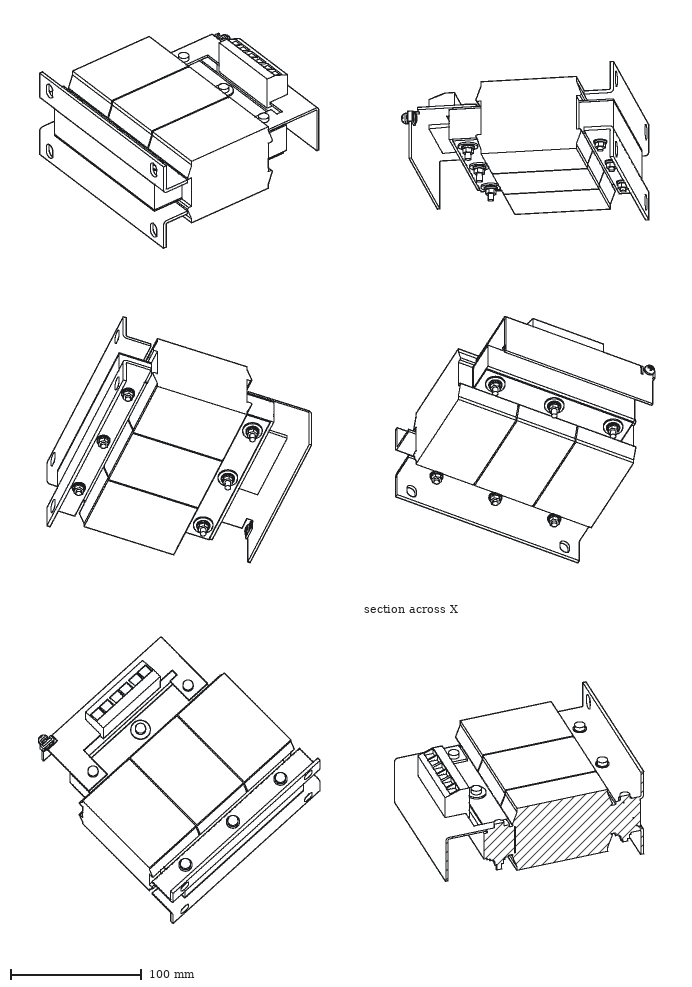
import cadquery as cq


yoke_depth = 25.0
core_width = 5 * yoke_depth
core_height = 24.0
core_front = 2.67
core_rear = 130.2
plate_thickness = 1.33
plate_rear_setback = 2.7
plate_edge_setback = 0.15
plate_z = core_height / 2 + plate_thickness

coil_pitch = 50.0
coil_gap = 1.0
coil_width = coil_pitch - coil_gap
coil_offsets = [-coil_pitch, 0, coil_pitch]
coil_row_width = 2 * coil_pitch + coil_width
coil_height = 58.0
coil_edge_height = 3.6
coil_flare = 4.0
coil_lip_chamfer = 1.2
coil_front = 29.4
coil_rear = 103.4
flange_thickness = 1.3

bracket_width = 155.0
bracket_thickness = core_front
bracket_inner_radius = 0.6
bracket_depth = 23.0
bracket_leg = 25.0
bracket_outer_z = plate_z + bracket_leg
slot_spacing = 130.0
slot_width = 7.8
slot_height = 12.0
slot_z = 28.3

sheet = 2.0
bend_radius = 3.0
plate_front = 109.2
plate_rear = 161.4
plate_top = plate_z + sheet
tab_bottom = -25.3
opening_half_width = 43.0
opening_rear = 135.5
relief_front = 130.3
relief_right = 50.3
notch_front = 154.8
notch_right = -52.3
notch_bottom = 12.0

block_count = 3
block_width = 20.0
block_row_left = -25.0
block_front = 132.7
block_rear = 152.4
block_bottom_rear = 10.1
block_bottom_front = 10.9
block_slope_start = 140.2
block_low_top = 33.8
pocket_width = 8.4
pocket_spacing = 9.4
pocket_front = 140.5
pocket_rear = 147.9

bolt_diameter = 4.3
head_diameter = 8.0
head_height = 3.35
washer_diameter = 10.2
washer_thickness = 0.5
wide_washer_diameter = 15.0
wide_washer_thickness = 1.35
spring_washer_diameter = 9.4
spring_washer_thickness = 1.3
nut_across_corners = 8.08
nut_height = 3.3
nut_turn = 50.0
front_bolt_y = core_front + yoke_depth / 2
rear_bolt_y = core_rear - yoke_depth / 2
front_bolt_tip = -23.3
outer_rear_bolt_tip = -24.7
middle_rear_bolt_tip = -25.9

screw_x = -58.2
screw_z = 8.2
screw_end = 167.4
screw_dome_height = 2.9
screw_dome_flat = 4.4
screw_dome_fullness = 0.6
screw_head_diameter = 8.2
screw_rim_height = 1.4
screw_diameter = 4.0
clamp_width = 11.5
clamp_height = 8.0
clamp_wall = 1.5
clamp_rear = 162.1
screw_nut_height = 1.2
screw_collar_length = 0.5
screw_collar_diameter = 4.6
recess_length = 4.6
recess_width = 1.2
recess_depth = 1.2


def box(x0, x1, y0, y1, z0, z1):
    """Block between two opposite corners."""
    return cq.Workplane("XY").box(x1 - x0, y1 - y0, z1 - z0, centered=False).translate((x0, y0, z0))


def cylinder(x, y, bottom, top, diameter):
    """Upright round bar."""
    return cq.Workplane("XY", origin=(x, y, bottom)).circle(diameter / 2).extrude(top - bottom)


def extrude_along_x(points, x0, x1):
    """Prism with a (Y, Z) outline."""
    return cq.Workplane("YZ", origin=(x0, 0, 0)).polyline(points).close().extrude(x1 - x0)


def make_core():
    half_width = core_width / 2
    half_height = core_height / 2
    rear_yoke_front = core_rear - yoke_depth
    plate_half_width = half_width - plate_edge_setback
    plates_front = core_front + plate_edge_setback
    plates_rear = core_rear - plate_rear_setback
    core = box(-half_width, half_width, core_front, coil_front, -half_height, half_height)
    core = core.union(box(-half_width, half_width, rear_yoke_front, core_rear, -half_height, half_height))
    front_plates = box(-plate_half_width, plate_half_width, plates_front, coil_front, -plate_z, plate_z)
    rear_plates = box(-plate_half_width, plate_half_width, coil_rear, plates_rear, -plate_z, plate_z)
    air_gap = box(
        -half_width, half_width, coil_rear + flange_thickness, rear_yoke_front, -half_height, half_height
    )
    return core.union(front_plates).union(rear_plates.cut(air_gap))


def make_coils():
    half_row = coil_row_width / 2
    top = coil_height / 2
    shoulder = top - coil_edge_height
    coils = box(-half_row, half_row, coil_front, coil_rear, -plate_z, plate_z)
    upper_outline = [
        (coil_front, 0),
        (coil_front, plate_z),
        (coil_front - coil_flare + coil_lip_chamfer, plate_z),
        (coil_front - coil_flare, plate_z + coil_lip_chamfer),
        (coil_front, shoulder),
        (coil_front, top),
        (coil_rear, top),
        (coil_rear, shoulder),
        (coil_rear + coil_flare, plate_z + coil_lip_chamfer),
        (coil_rear + coil_flare - coil_lip_chamfer, plate_z),
        (coil_rear, plate_z),
        (coil_rear, 0),
    ]
    for x in coil_offsets:
        upper = extrude_along_x(upper_outline, x - coil_width / 2, x + coil_width / 2)
        coils = coils.union(upper).union(upper.mirror("XY"))
    return coils


def make_upper_bracket():
    half_width = bracket_width / 2
    inner_z = plate_z + bracket_thickness
    outline = [
        (0, plate_z),
        (bracket_depth, plate_z),
        (bracket_depth, inner_z),
        (bracket_thickness, inner_z),
        (bracket_thickness, bracket_outer_z),
        (0, bracket_outer_z),
    ]
    bracket = extrude_along_x(outline, -half_width, half_width)
    bracket = bracket.edges("|X and <Y and <Z").fillet(bracket_inner_radius + bracket_thickness)
    inner_bend = cq.selectors.NearestToPointSelector((0, bracket_thickness, inner_z))
    bracket = bracket.edges(inner_bend).fillet(bracket_inner_radius)
    slots = (
        cq.Workplane("XZ", origin=(0, bracket_thickness, 0))
        .pushPoints([(-slot_spacing / 2, slot_z), (slot_spacing / 2, slot_z)])
        .slot2D(slot_height, slot_width, 90)
        .extrude(bracket_thickness)
    )
    return bracket.cut(slots)


def make_terminal_plate():
    half_width = core_width / 2
    outline = [
        (plate_front, plate_z),
        (plate_rear - sheet, plate_z),
        (plate_rear - sheet, tab_bottom),
        (plate_rear, tab_bottom),
        (plate_rear, plate_top),
        (plate_front, plate_top),
    ]
    plate = extrude_along_x(outline, -half_width, half_width)
    plate = plate.edges("|X and >Y and >Z").fillet(bend_radius)
    inner_bend = cq.selectors.NearestToPointSelector((0, plate_rear - sheet, plate_z))
    plate = plate.edges(inner_bend).fillet(bend_radius - sheet)
    opening = box(-opening_half_width, opening_half_width, plate_front, opening_rear, plate_z, plate_top)
    relief = box(0, relief_right, relief_front, opening_rear, plate_z, plate_top)
    notch = box(-half_width, notch_right, notch_front, plate_rear, notch_bottom, plate_top)
    return plate.cut(opening).cut(relief).cut(notch)


def make_terminal_blocks():
    row_right = block_row_left + block_count * block_width
    outline = [
        (block_front, block_bottom_front),
        (block_rear, block_bottom_rear),
        (block_rear, block_low_top),
        (block_slope_start, bracket_outer_z),
        (block_front, bracket_outer_z),
    ]
    blocks = extrude_along_x(outline, block_row_left, row_right)
    for index in range(block_count):
        block_center = block_row_left + (index + 0.5) * block_width
        for side in (-1, 1):
            left = block_center + side * pocket_spacing / 2 - pocket_width / 2
            pocket = box(
                left, left + pocket_width, pocket_front, pocket_rear, block_low_top, bracket_outer_z
            )
            blocks = blocks.cut(pocket)
    return blocks


def make_nut_end(x, y, seat, tip):
    """Washer, spring washer, hexagon nut and bolt tip below a seat."""
    washer_bottom = seat - washer_thickness
    spring_bottom = washer_bottom - spring_washer_thickness
    nut_bottom = spring_bottom - nut_height
    end = cylinder(x, y, washer_bottom, seat, washer_diameter)
    end = end.union(cylinder(x, y, spring_bottom, washer_bottom, spring_washer_diameter))
    nut = cq.Workplane("XY").polygon(6, nut_across_corners).extrude(nut_height)
    nut = nut.rotate((0, 0, 0), (0, 0, 1), nut_turn).translate((x, y, nut_bottom))
    shank = cylinder(x, y, tip, seat, bolt_diameter)
    return end.union(nut).union(shank)


def make_front_bolt(x):
    seat = plate_z + bracket_thickness
    head_seat = seat + washer_thickness
    bolt = cylinder(x, front_bolt_y, seat, head_seat, washer_diameter)
    bolt = bolt.union(cylinder(x, front_bolt_y, head_seat, head_seat + head_height, head_diameter))
    return bolt.union(make_nut_end(x, front_bolt_y, -seat, front_bolt_tip))


def make_rear_bolt(x):
    """The middle bolt clamps a wide washer where the outer ones clamp the terminal plate."""
    washer_z = plate_z + wide_washer_thickness
    head_seat = plate_top
    tip = outer_rear_bolt_tip
    bolt = cylinder(x, rear_bolt_y, -washer_z, -plate_z, wide_washer_diameter)
    if x == 0:
        head_seat = washer_z
        tip = middle_rear_bolt_tip
        bolt = bolt.union(cylinder(x, rear_bolt_y, plate_z, washer_z, wide_washer_diameter))
    bolt = bolt.union(cylinder(x, rear_bolt_y, head_seat, head_seat + head_height, head_diameter))
    return bolt.union(make_nut_end(x, rear_bolt_y, -washer_z, tip))


def make_earth_clamp():
    left = screw_x - clamp_width / 2
    right = screw_x + clamp_width / 2
    bottom = screw_z - clamp_height / 2
    top = screw_z + clamp_height / 2
    base_rear = plate_rear - sheet
    base_front = base_rear - clamp_wall
    clamp = box(left, right, base_front, clamp_rear, bottom, top)
    clamp = clamp.edges("|Z and <Y").chamfer(clamp_wall / 2)
    channel = box(left + clamp_wall, right - clamp_wall, base_rear, clamp_rear, bottom, top)
    return clamp.cut(channel)


def make_earth_screw():
    """Turned profile as (radius, Y), a hexagon nut with a corner up and a cross recess in the head."""
    nut_rear = plate_rear - sheet - clamp_wall
    nut_front = nut_rear - screw_nut_height
    collar_front = nut_front - screw_collar_length
    rim_rear = screw_end - screw_dome_height
    rim_front = rim_rear - screw_rim_height
    head_radius = screw_head_diameter / 2
    collar_radius = screw_collar_diameter / 2
    flat_radius = screw_dome_flat / 2
    dome_middle = (
        flat_radius + (head_radius - flat_radius) * screw_dome_fullness,
        rim_rear + screw_dome_height * screw_dome_fullness,
    )
    profile = (
        cq.Workplane("XY")
        .moveTo(0, collar_front)
        .lineTo(collar_radius, collar_front)
        .lineTo(collar_radius, nut_front)
        .lineTo(screw_diameter / 2, nut_front)
        .lineTo(screw_diameter / 2, rim_front)
        .lineTo(head_radius, rim_front)
        .lineTo(head_radius, rim_rear)
        .threePointArc(dome_middle, (flat_radius, screw_end))
        .lineTo(0, screw_end)
        .close()
    )
    screw = profile.revolve(360, (0, 0, 0), (0, 1, 0))
    nut = cq.Workplane("XZ").polygon(6, nut_across_corners).extrude(screw_nut_height)
    nut = nut.rotate((0, 0, 0), (0, 1, 0), 90).translate((0, nut_rear, 0))
    screw = screw.union(nut)
    recess_center = (0, screw_end - recess_depth / 2, 0)
    for x_size, z_size in ((recess_length, recess_width), (recess_width, recess_length)):
        screw = screw.cut(cq.Workplane("XY").box(x_size, recess_depth, z_size).translate(recess_center))
    return screw.translate((screw_x, 0, screw_z))


upper_bracket = make_upper_bracket()
result = make_core().union(make_coils())
result = result.union(upper_bracket).union(upper_bracket.mirror("XY"))
result = result.union(make_terminal_plate()).union(make_terminal_blocks())
for bolt_x in coil_offsets:
    result = result.union(make_front_bolt(bolt_x)).union(make_rear_bolt(bolt_x))
result = result.union(make_earth_clamp()).union(make_earth_screw())